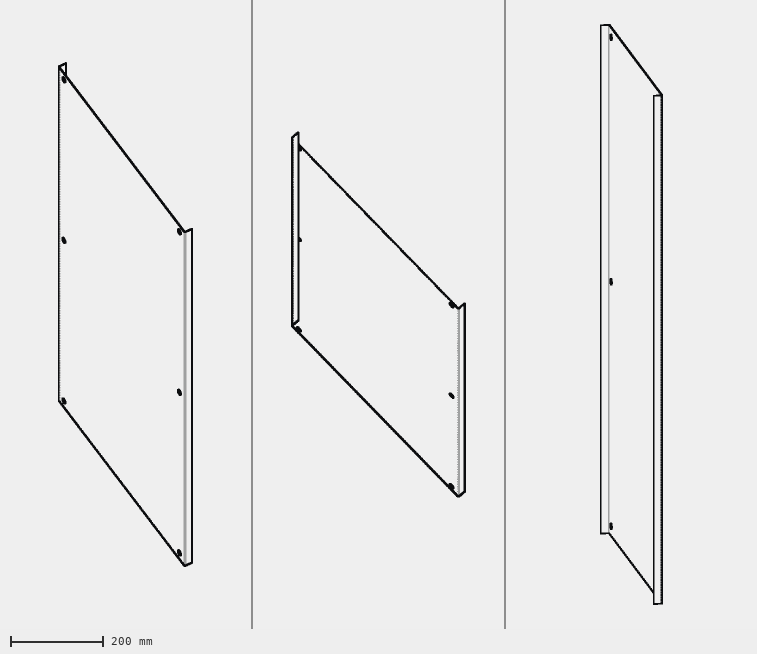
import cadquery as cq

width = 534.0
depth = 20.0
height = 1143.0

thickness = 2.0
inner_bend_radius = 1.0
outer_bend_radius = inner_bend_radius + thickness

hole_diameter = 13.0
hole_side_distance = 23.0
hole_end_distance = 22.0
hole_column_x = width / 2 - hole_side_distance
hole_row_z = height / 2 - hole_end_distance


def channel_block(block_width, front_y, bend_radius):
    """Full-height block with its two front vertical edges rounded."""
    block_depth = depth / 2 - front_y
    return (
        cq.Workplane("XY")
        .box(block_width, block_depth, height)
        .edges("|Z and <Y")
        .fillet(bend_radius)
        .translate((0, front_y + block_depth / 2, 0))
    )


def bent_sheet():
    """Flat panel with both long sides bent back into flanges."""
    front_y = -depth / 2
    outside = channel_block(width, front_y, outer_bend_radius)
    inside = channel_block(width - 2 * thickness, front_y + thickness, inner_bend_radius)
    return outside.cut(inside)


def mounting_holes():
    """Cutters running through the panel along Y."""
    hole_centers = [
        (x, z)
        for x in (-hole_column_x, hole_column_x)
        for z in (-hole_row_z, 0, hole_row_z)
    ]
    return (
        cq.Workplane("XZ")
        .pushPoints(hole_centers)
        .circle(hole_diameter / 2)
        .extrude(depth, both=True)
    )


result = bent_sheet().cut(mounting_holes())